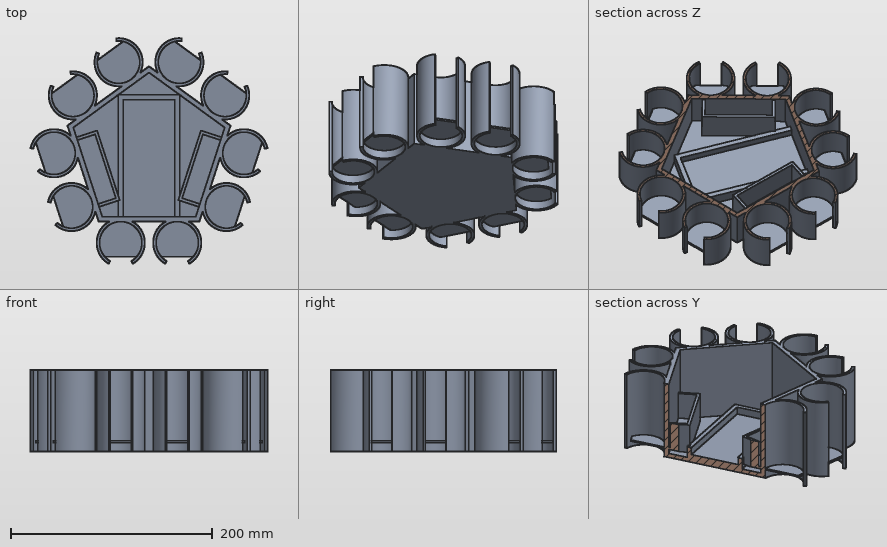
import cadquery as cq
import math

HEIGHT = 81.0

SIDE_COUNT = 5
SIDE_LENGTH = 100.0
TRAY_WALL = 5.0
TRAY_FLOOR = 5.0

CUP_INNER_RADIUS = 21.0
CUP_WALL = 3.0
CUP_SPACING = 56.0
CUP_OPENING_ANGLE = 60.0
CUP_FLOOR_BOTTOM = 9.0
CUP_FLOOR_THICKNESS = 2.0
CUP_FLOOR_REACH = 14.0

FRAME_INNER_WIDTH = 51.0
FRAME_INNER_LENGTH = 115.5
FRAME_WALL = 5.0
FRAME_FLOOR = 9.0
FRAME_TOP = 16.5

BOX_INNER_LENGTH = 66.5
BOX_INNER_DEPTH = 18.5
BOX_WALL = 3.0
BOX_BOTTOM = 9.0
BOX_TOP = 39.0
BOX_SIDES = (1, 4)

SIDE_STEP = 360.0 / SIDE_COUNT
HALF_SIDE_ANGLE = math.radians(SIDE_STEP / 2)
APOTHEM = SIDE_LENGTH / 2 / math.tan(HALF_SIDE_ANGLE)
INNER_APOTHEM = APOTHEM - TRAY_WALL
CUP_OUTER_RADIUS = CUP_INNER_RADIUS + CUP_WALL
CUP_DISTANCE = APOTHEM + CUP_INNER_RADIUS
CUP_FLOOR_TOP = CUP_FLOOR_BOTTOM + CUP_FLOOR_THICKNESS
BOX_FLOOR = BOX_BOTTOM + BOX_WALL


def pentagon(apothem, bottom, top):
    """Regular pentagonal prism about Z with one vertex on +Y and a flat side facing -Y."""
    diameter = 2 * apothem / math.cos(HALF_SIDE_ANGLE)
    prism = cq.Workplane("XY").polygon(SIDE_COUNT, diameter).extrude(top - bottom)
    return prism.rotate((0, 0, 0), (0, 0, 1), 90).translate((0, 0, bottom))


def cylinder(radius, bottom, top):
    return cq.Workplane("XY").workplane(offset=bottom).circle(radius).extrude(top - bottom)


def block(width, y_min, y_max, bottom, top):
    """Box centred on X that spans the given Y and Z ranges."""
    base = cq.Workplane("XY").box(width, y_max - y_min, top - bottom, centered=(True, False, False))
    return base.translate((0, y_min, bottom))


def on_side(shape, side):
    """Turn a shape built at the -Y side of the tray to another side."""
    return shape.rotate((0, 0, 0), (0, 0, 1), side * SIDE_STEP)


def make_cup():
    """Open-fronted tube about Z, opening toward -Y, with a raised floor cut straight across."""
    tube = cylinder(CUP_OUTER_RADIUS, 0, HEIGHT).cut(cylinder(CUP_INNER_RADIUS, 0, HEIGHT))
    wedge_depth = 2 * CUP_OUTER_RADIUS
    wedge_half_width = wedge_depth * math.tan(math.radians(CUP_OPENING_ANGLE / 2))
    wedge = (
        cq.Workplane("XY")
        .polyline([(0, 0), (-wedge_half_width, -wedge_depth), (wedge_half_width, -wedge_depth)])
        .close()
        .extrude(HEIGHT)
    )
    floor_disc = cylinder(CUP_INNER_RADIUS, CUP_FLOOR_BOTTOM, CUP_FLOOR_TOP)
    floor_limit = block(
        2 * CUP_OUTER_RADIUS, -CUP_FLOOR_REACH, CUP_OUTER_RADIUS, CUP_FLOOR_BOTTOM, CUP_FLOOR_TOP
    )
    return tube.cut(wedge).union(floor_disc.intersect(floor_limit))


def make_wall_box(inner_width, inner_depth, wall, bottom, floor, top):
    """Open-topped box whose fourth wall is the -Y wall of the tray, into which its ends run."""
    inside_tray_wall = -(INNER_APOTHEM + TRAY_WALL / 2)
    inner_end = inner_depth - INNER_APOTHEM
    outer = block(inner_width + 2 * wall, inside_tray_wall, inner_end + wall, bottom, top)
    pocket = block(inner_width, -INNER_APOTHEM, inner_end, floor, top)
    return outer.cut(pocket)


def make_tray():
    """Pentagonal tray with the low frame and the two tall boxes inside it."""
    envelope = pentagon(APOTHEM, 0, HEIGHT)
    tray = envelope.cut(pentagon(INNER_APOTHEM, TRAY_FLOOR, HEIGHT))
    frame = make_wall_box(
        FRAME_INNER_WIDTH, FRAME_INNER_LENGTH, FRAME_WALL, 0, FRAME_FLOOR, FRAME_TOP
    )
    tray = tray.union(frame.intersect(envelope))
    box = make_wall_box(BOX_INNER_LENGTH, BOX_INNER_DEPTH, BOX_WALL, BOX_BOTTOM, BOX_FLOOR, BOX_TOP)
    for side in BOX_SIDES:
        tray = tray.union(on_side(box, side))
    return tray


def add_cups(body):
    """Attach a pair of cups to every side, their bores tangent to the outer tray wall."""
    cup = make_cup()
    for side in range(SIDE_COUNT):
        for x in (-CUP_SPACING / 2, CUP_SPACING / 2):
            body = body.union(on_side(cup.translate((x, -CUP_DISTANCE, 0)), side))
    return body


result = add_cups(make_tray())